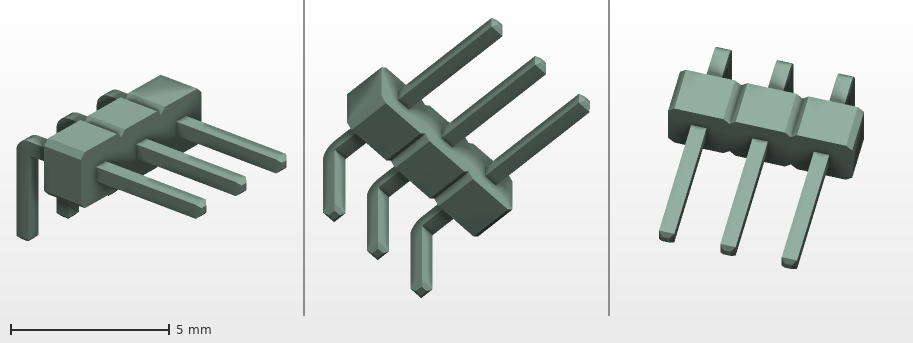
import cadquery as cq

pin_count = 3
total_length = 7.45
body_width = 6.0
total_height = 4.4

pitch = body_width / pin_count
body_depth = 1.5
body_height = pitch
body_start = 1.75
body_chamfer = 0.2

pin_side = 0.5
bend_radius = pin_side
tip_chamfer = 0.13

leg_bottom = body_height / 2 - total_height


def body_segment(center_y):
    """One position of the body: a block with its four X edges chamfered."""
    return (
        cq.Workplane("XY")
        .box(body_depth, pitch, body_height)
        .edges("|X")
        .chamfer(body_chamfer)
        .translate((body_start + body_depth / 2, center_y, 0))
    )


def bent_pin(center_y):
    """An L-shaped pin, rounded outside the bend and tapered at both ends."""
    half_side = pin_side / 2
    pin = (
        cq.Workplane("XZ")
        .moveTo(0, leg_bottom)
        .lineTo(0, half_side - bend_radius)
        .radiusArc((bend_radius, half_side), bend_radius)
        .lineTo(total_length, half_side)
        .lineTo(total_length, -half_side)
        .lineTo(pin_side, -half_side)
        .lineTo(pin_side, leg_bottom)
        .close()
        .extrude(half_side, both=True)
    )
    for end_face in (">X", "<Z"):
        pin = pin.faces(end_face).chamfer(tip_chamfer)
    return pin.translate((0, center_y, 0))


positions = [(i - (pin_count - 1) / 2) * pitch for i in range(pin_count)]
header = body_segment(positions[0])
for y in positions[1:]:
    header = header.union(body_segment(y))
for y in positions:
    header = header.union(bent_pin(y))

result = header